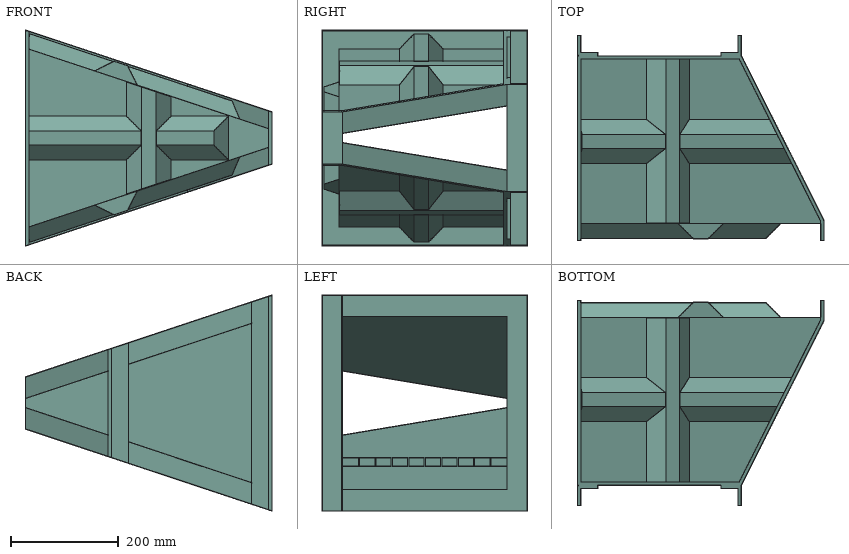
import cadquery as cq
import math

length = 457.0
width = 381.0
inlet_height = 400.5
outlet_height = 97.0

thickness = 6.5
flange_width = 38.0
back_length = 304.0
heel_chamfer = 2.0

long_rib_height = 27.5
cross_rib_height = 28.5
rib_crest = 26.5
rib_setback = 1.0
front_rib_end = 376.7
front_rib_x = length / 2
cross_rib_x = 168.0

pocket_start = 130.5
pocket_end = 178.5
pocket_depth = 0.5
pocket_web = 2.5
pocket_count = 10

slope = (inlet_height - outlet_height) / 2 / length
tilt = math.atan(slope)
outstand = flange_width - thickness
depth = width - flange_width - outstand
front_edge = -outstand
back_edge = depth + flange_width
outer_half = inlet_height / 2
plate_half = outer_half - outstand / math.cos(tilt)
inner_half = outer_half - flange_width / math.cos(tilt)
rib_y = (depth - thickness) / 2

slant_run = length - back_length
slant_rise = depth - thickness
slant_length = math.hypot(slant_run, slant_rise)
slant_offset = thickness * slant_length / slant_rise
lip_inner = length - thickness
bend_inner_y = thickness - (slant_offset - thickness) * slant_rise / slant_run
back_inner_x = back_length - slant_offset


def prism(plan):
    """Upright prism over an XY outline, spanning the full height of the part."""
    return cq.Workplane("XY").polyline(plan).close().extrude(outer_half, both=True)


def block(x0, x1, y0, y1):
    return prism([(x0, y0), (x1, y0), (x1, y1), (x0, y1)])


def wedge(half_height, y0, y1):
    """Solid between two sloped planes that are +/- half_height apart from mid-height at X = 0."""
    end_half = half_height - slope * length
    outline = [(0, -half_height), (length, -end_half), (length, end_half), (0, half_height)]
    return cq.Workplane("XZ", origin=(0, y0, 0)).polyline(outline).close().extrude(y0 - y1)


def rib(start, end, height):
    """Trapezoidal rib along X, standing on the XY plane."""
    crest = rib_crest / 2
    base = crest + height
    profile = [(-base, 0), (base, 0), (crest, height), (-crest, height)]
    return cq.Workplane("YZ", origin=(start, 0, 0)).polyline(profile).close().extrude(end - start)


def place(body, plane):
    return cq.Workplane(body.val().moved(plane.location))


def make_flanges():
    """Flange bars around the inlet, back and slanted side, with the corner angles and outlet lip."""
    inlet = block(0, thickness, front_edge, back_edge)
    back = block(0, back_length, depth - thickness, depth)
    slanted = prism([
        (back_length, depth), (length, thickness), (length, front_edge),
        (lip_inner, front_edge), (lip_inner, bend_inner_y), (back_inner_x, depth),
    ])
    inlet_angle = block(0, flange_width, depth, depth + thickness)
    slanted_angle = block(back_length - flange_width, back_length, depth, depth + thickness).union(
        block(back_length - thickness, back_length, depth, back_edge)
    )
    bars = inlet.union(back).union(slanted).union(inlet_angle).union(slanted_angle)
    heel = prism([(0, depth), (heel_chamfer, depth), (0, depth + heel_chamfer)])
    return bars.cut(heel).intersect(wedge(outer_half, front_edge, back_edge))


def make_top_ribs():
    """Crossed ribs on the sloped top plate, running to the surrounding flanges."""
    normal = (math.sin(tilt), 0, math.cos(tilt))
    along = (math.cos(tilt), 0, -math.sin(tilt))
    lengthwise = place(rib(0, length, long_rib_height), cq.Plane((0, rib_y, plate_half), along, normal))
    centre_z = plate_half - slope * cross_rib_x
    crosswise = place(
        rib(rib_setback, depth, cross_rib_height),
        cq.Plane((cross_rib_x, 0, centre_z), (0, 1, 0), normal),
    )
    return lengthwise.union(crosswise).intersect(footprint)


def make_front_ribs():
    """Crossed ribs on the front wall; the lengthwise one ends in a 45 degree hip."""
    hip = front_rib_end - long_rib_height
    side = [(0, 0), (front_rib_end, 0), (hip, -long_rib_height), (0, -long_rib_height)]
    lengthwise = place(
        rib(0, front_rib_end, long_rib_height), cq.Plane((0, 0, 0), (1, 0, 0), (0, -1, 0))
    )
    lengthwise = lengthwise.intersect(prism(side))
    upright = place(
        rib(-outer_half, outer_half, cross_rib_height),
        cq.Plane((front_rib_x, 0, 0), (0, 0, 1), (0, -1, 0)),
    )
    return lengthwise.union(upright).intersect(wedge(plate_half - rib_setback, front_edge, 0))


def make_floor_pockets():
    """Cutter for the equal floor pockets, which are separated by narrow webs."""
    pitch = (depth - thickness) / pocket_count
    cutter = block(pocket_start, pocket_end, thickness, depth)
    for i in range(1, pocket_count):
        web_y = thickness + i * pitch
        cutter = cutter.cut(block(pocket_start, pocket_end, web_y - pocket_web / 2, web_y + pocket_web / 2))
    lower_half = cq.Workplane("XY", origin=(0, 0, -outer_half)).box(length, depth, outer_half, centered=False)
    sunk = wedge(inner_half + pocket_depth / math.cos(tilt), thickness, depth)
    return cutter.intersect(lower_half).intersect(sunk)


footprint = prism([(0, 0), (length, 0), (length, thickness), (back_length, depth), (0, depth)])
top_ribs = make_top_ribs()

duct = wedge(plate_half, 0, depth).intersect(footprint)
result = (
    make_flanges()
    .union(duct)
    .union(top_ribs)
    .union(top_ribs.mirror("XY"))
    .union(make_front_ribs())
    .cut(wedge(inner_half, thickness, depth))
    .cut(make_floor_pockets())
)